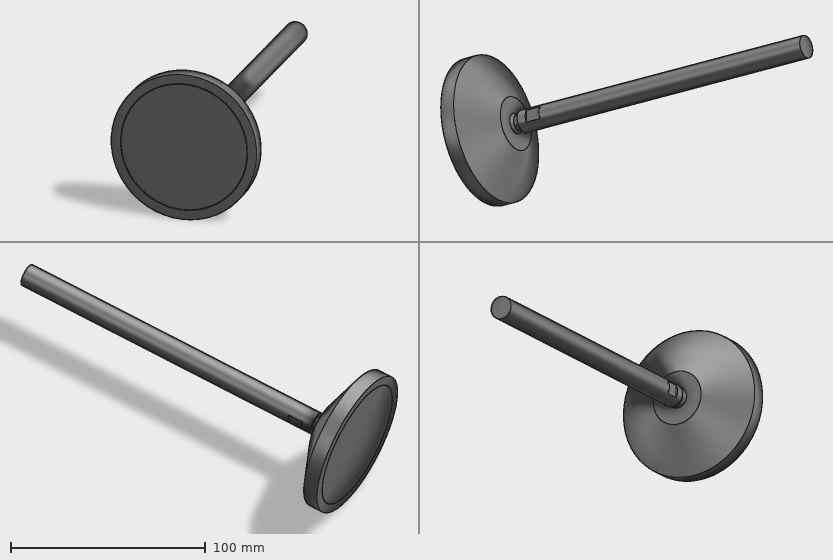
import cadquery as cq
import math

total_length = 200.0

foot_diameter = 78.0
rim_height = 8.0
foot_height = 20.2
cone_top_diameter = 28.5
groove_outer_diameter = 68.0
groove_inner_diameter = 67.5
groove_depth = 1.0

shaft_diameter = 12.0
shaft_start = 25.0
neck_diameter = 7.8
neck_start = 21.5
ball_diameter = 16.0
flat_start = 30.0
flat_length = 8.5
width_across_flats = 10.0

ball_radius = ball_diameter / 2
neck_radius = neck_diameter / 2
ball_center = neck_start - math.sqrt(ball_radius**2 - neck_radius**2)


def cylinder(diameter, start, end):
    """Solid cylinder around the Y axis between two Y positions."""
    return (
        cq.Workplane("XZ", origin=(0, start, 0))
        .circle(diameter / 2)
        .extrude(start - end)
    )


def ball():
    """Sphere that swivels in the foot."""
    return cq.Workplane("XY").sphere(ball_radius).translate((0, ball_center, 0))


def make_foot():
    """Conical foot with a ball socket and a thin ring groove underneath."""
    foot = (
        cq.Workplane("XY")
        .moveTo(0, 0)
        .lineTo(foot_diameter / 2, 0)
        .lineTo(foot_diameter / 2, rim_height)
        .lineTo(cone_top_diameter / 2, foot_height)
        .lineTo(0, foot_height)
        .close()
        .revolve(360, (0, 0, 0), (0, 1, 0))
    )
    groove = cylinder(groove_outer_diameter, 0, groove_depth).cut(
        cylinder(groove_inner_diameter, 0, groove_depth)
    )
    return foot.cut(groove).cut(ball())


def make_spindle():
    """Shaft with two wrench flats, a neck and a ball end."""
    spindle = (
        cylinder(shaft_diameter, shaft_start, total_length)
        .union(cylinder(neck_diameter, ball_center, shaft_start))
        .union(ball())
    )
    flat_depth = (shaft_diameter - width_across_flats) / 2
    flat_middle = flat_start + flat_length / 2
    for side in (-1, 1):
        flat_cut = cq.Workplane("XY").box(flat_depth, flat_length, shaft_diameter)
        cut_center = side * (width_across_flats + flat_depth) / 2
        spindle = spindle.cut(flat_cut.translate((cut_center, flat_middle, 0)))
    return spindle


foot = make_foot()
spindle = make_spindle()

result = cq.Compound.makeCompound([foot.val(), spindle.val()])